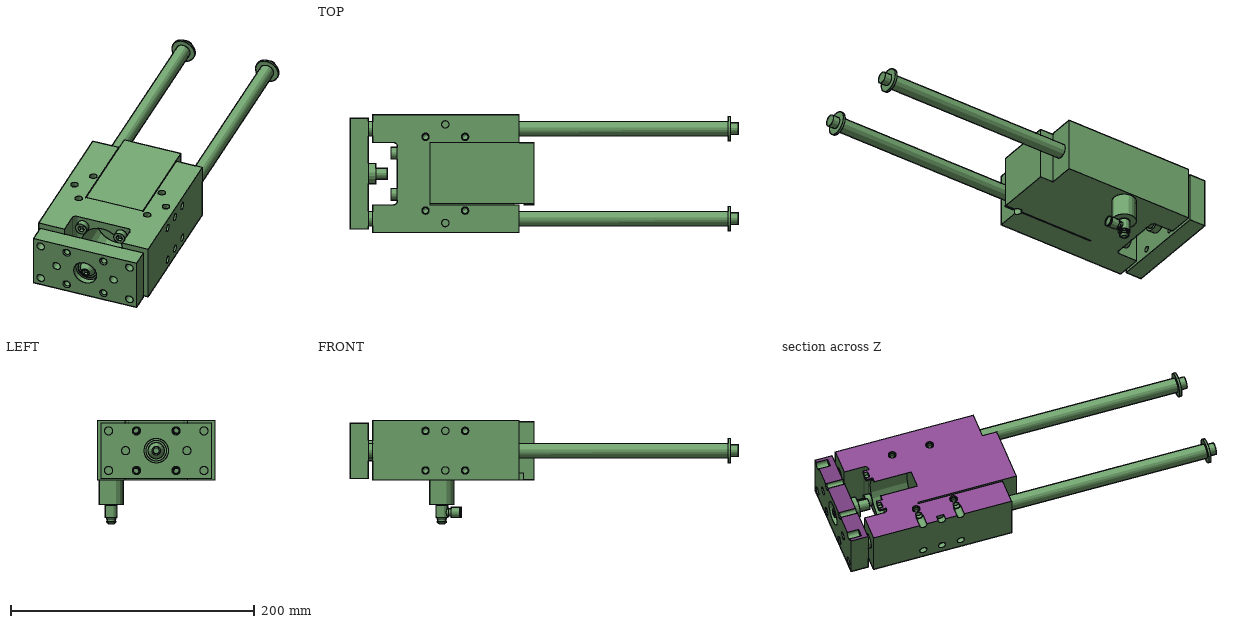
import cadquery as cq
import math

OVERALL_LENGTH = 319.0
OVERALL_HEIGHT = 85.2
HOUSING_FRONT = 18.5
HOUSING_LENGTH = 120.3
HOUSING_WIDTH = 97.0
HOUSING_HEIGHT = 49.0
HOUSING_REAR = HOUSING_FRONT + HOUSING_LENGTH
MID_Z = 24.2

RECESS_DEPTH = 20.0
RECESS_WIDTH = 51.0
RECESS_CORNER_RADIUS = 3.0
RECESS_BACK = HOUSING_FRONT + RECESS_DEPTH
BORE_DIAMETER = 36.5
BORE_DEPTH = 32.0

SCREW_PITCH = 33.8
SCREW_HEAD_DIAMETER = 10.0
SCREW_HEAD_HEIGHT = 5.0
SOCKET_WIDTH = 4.8
SOCKET_DEPTH = 3.2

BLOCK_LENGTH = 85.8
BLOCK_OVERHANG = 12.5
BLOCK_WIDTH = RECESS_WIDTH
BLOCK_DROP = 1.0
BLOCK_GAP = 1.0
BLOCK_FLANGE_HEIGHT = 0.5
BLOCK_REAR = HOUSING_REAR + BLOCK_OVERHANG
NOTCH_DIAMETER = 8.0
NOTCH_HEIGHT = 6.0

PITCH = 32.5
MOUNT_X = 78.0
HOLE_DIAMETER = 6.0
DOWEL_DEPTH = 4.8
THREAD_DEPTH = 10.0
DRILL_DIAMETER = 4.8
DRILL_DEPTH = 12.8
TIP_LENGTH = 1.3
TOP_TAPPED_Y = 30.3
TOP_DOWEL_Y = 40.5

VALVE_X = 75.3
VALVE_DIAMETER = 20.0
VALVE_HEIGHT = 20.0
VALVE_BOTTOM = OVERALL_HEIGHT - HOUSING_HEIGHT
COLLAR_DIAMETER = 9.3
COLLAR_END = 20.7
FITTING_DIAMETER = 10.0
FITTING_END = 30.5
RING_DIAMETER = 8.0
RING_END = 32.0
GROOVE_DIAMETER = 6.7
GROOVE_END = 33.8
NOSE_DIAMETER = 8.0
NOSE_CONE_START = 34.5
NOSE_TIP_DIAMETER = 4.0
ELBOW_Z = -26.5
ELBOW_BOSS_DIAMETER = 7.0
ELBOW_BOSS_END = 5.5
ELBOW_NECK_DIAMETER = 6.0
ELBOW_DIAMETER = 8.5
ELBOW_START = 7.5
ELBOW_END = 16.3
ELBOW_GROOVE_DIAMETER = 8.0
ELBOW_GROOVE_WIDTH = 0.5
ELBOW_GROOVE_START = 14.7

PLATE_THICKNESS = 15.0
PLATE_WIDTH = 91.2
PLATE_BOTTOM = 1.3
PLATE_HEIGHT = 45.5
PLATE_OUTER_HOLE_Y = 39.2
PLATE_MIDDLE_HOLE_Y = 25.2
PLATE_HOLE_DIAMETER = 6.7
PLATE_HOLE_DEPTH = 10.0
ACCESS_HOLE_DIAMETER = 4.8
ACCESS_CHAMFER = (PLATE_HOLE_DIAMETER - ACCESS_HOLE_DIAMETER) / 2
ROD_DIAMETER = 12.0
ROD_Y = 37.0
STOP_DIAMETER = 20.0
STOP_THICKNESS = 2.0
STUD_DIAMETER = 10.0
STUD_LENGTH = 6.5
STUD_START = OVERALL_LENGTH - STUD_LENGTH

COUNTERBORE_DIAMETER = 20.0
COUNTERBORE_DEPTH = 5.0
SEAT_DEPTH = 6.0
COUPLING_DIAMETER = 17.0
COUPLING_LENGTH = 6.0
PIN_DIAMETER = 9.3
PIN_LENGTH = 9.5
BUTTON_HEIGHT = 5.5
BUTTON_BASE_DIAMETER = 13.5
BUTTON_TOP_DIAMETER = 7.0
BUTTON_SOCKET_WIDTH = 4.8

CORNERS = [(-1, -1), (-1, 1), (1, -1), (1, 1)]


def x_cylinder(x, y, z, diameter, length):
    """Cylinder along +X that starts at (x, y, z)."""
    return cq.Workplane("YZ", origin=(x, y, z)).circle(diameter / 2).extrude(length)


def x_hexagon(x, y, z, width, length):
    """Hexagonal prism along +X, sized across flats."""
    corner_diameter = width / math.cos(math.pi / 6)
    return cq.Workplane("YZ", origin=(x, y, z)).polygon(6, corner_diameter).extrude(length)


def plain_hole(point, direction, diameter, depth):
    """Flat-bottomed hole from point along direction."""
    return cq.Workplane(cq.Solid.makeCylinder(
        diameter / 2, depth, cq.Vector(*point), cq.Vector(*direction)))


def tapped_hole(point, direction, diameter):
    """Hole followed by a smaller drill hole with a conical end."""
    start = cq.Vector(*point)
    axis = cq.Vector(*direction)
    radius = DRILL_DIAMETER / 2
    drill = cq.Solid.makeCylinder(radius, DRILL_DEPTH, start, axis)
    tip = cq.Solid.makeCone(radius, 0, TIP_LENGTH, start + axis * DRILL_DEPTH, axis)
    hole = plain_hole(point, direction, diameter, THREAD_DEPTH)
    return hole.union(cq.Workplane(drill)).union(cq.Workplane(tip))


def make_valve():
    """Valve with its nose and side elbow, hanging below the housing."""
    y = ROD_Y
    profile = [
        (0, 0),
        (VALVE_DIAMETER / 2, 0),
        (VALVE_DIAMETER / 2, -VALVE_HEIGHT),
        (COLLAR_DIAMETER / 2, -VALVE_HEIGHT),
        (COLLAR_DIAMETER / 2, -COLLAR_END),
        (FITTING_DIAMETER / 2, -COLLAR_END),
        (FITTING_DIAMETER / 2, -FITTING_END),
        (RING_DIAMETER / 2, -FITTING_END),
        (RING_DIAMETER / 2, -RING_END),
        (GROOVE_DIAMETER / 2, -RING_END),
        (GROOVE_DIAMETER / 2, -GROOVE_END),
        (NOSE_DIAMETER / 2, -GROOVE_END),
        (NOSE_DIAMETER / 2, -NOSE_CONE_START),
        (NOSE_TIP_DIAMETER / 2, -VALVE_BOTTOM),
        (0, -VALVE_BOTTOM),
    ]
    valve = cq.Workplane("XZ", origin=(VALVE_X, y, 0)).polyline(profile).close()
    valve = valve.revolve(360, (0, 0), (0, 1))
    sections = [
        (0, ELBOW_BOSS_END, ELBOW_BOSS_DIAMETER),
        (ELBOW_BOSS_END, ELBOW_START, ELBOW_NECK_DIAMETER),
        (ELBOW_START, ELBOW_GROOVE_START, ELBOW_DIAMETER),
        (ELBOW_GROOVE_START, ELBOW_GROOVE_START + ELBOW_GROOVE_WIDTH, ELBOW_GROOVE_DIAMETER),
        (ELBOW_GROOVE_START + ELBOW_GROOVE_WIDTH, ELBOW_END, ELBOW_DIAMETER),
    ]
    for start, end, diameter in sections:
        valve = valve.union(x_cylinder(VALVE_X + start, y, ELBOW_Z, diameter, end - start))
    return valve


def cut_mounting_holes(housing):
    """Hole patterns in the top face and in the -Y face."""
    down = (0, 0, -1)
    inward = (0, 1, 0)
    for side in (-1, 1):
        top_dowel = (MOUNT_X, side * TOP_DOWEL_Y, HOUSING_HEIGHT)
        housing = housing.cut(plain_hole(top_dowel, down, HOLE_DIAMETER, DOWEL_DEPTH))
        side_dowel = (MOUNT_X, -HOUSING_WIDTH / 2, MID_Z + side * PITCH / 2)
        housing = housing.cut(plain_hole(side_dowel, inward, HOLE_DIAMETER, DOWEL_DEPTH))
    for i, j in CORNERS:
        x = MOUNT_X + i * PITCH / 2
        top_point = (x, j * TOP_TAPPED_Y, HOUSING_HEIGHT)
        housing = housing.cut(tapped_hole(top_point, down, HOLE_DIAMETER))
        side_point = (x, -HOUSING_WIDTH / 2, MID_Z + j * PITCH / 2)
        housing = housing.cut(tapped_hole(side_point, inward, HOLE_DIAMETER))
    return housing


def make_housing():
    """Housing with its rear block, recess screws and valve."""
    housing = cq.Workplane("XY").box(HOUSING_LENGTH, HOUSING_WIDTH, HOUSING_HEIGHT,
                                     centered=(False, True, False))
    housing = housing.translate((HOUSING_FRONT, 0, 0))
    recess = cq.Workplane("XY").box(RECESS_DEPTH, RECESS_WIDTH, HOUSING_HEIGHT,
                                    centered=(False, True, False))
    recess = recess.edges("|Z and >X").fillet(RECESS_CORNER_RADIUS)
    housing = housing.cut(recess.translate((HOUSING_FRONT, 0, 0)))
    housing = housing.cut(x_cylinder(RECESS_BACK, 0, MID_Z, BORE_DIAMETER, BORE_DEPTH))

    block_top = HOUSING_HEIGHT - BLOCK_DROP
    block_front = BLOCK_REAR - BLOCK_LENGTH
    block_space = cq.Workplane("XY").box(BLOCK_LENGTH, BLOCK_WIDTH, HOUSING_HEIGHT,
                                         centered=(False, True, False))
    housing = housing.cut(block_space.translate((block_front, 0, block_top)))
    overhang = cq.Workplane("XY").box(BLOCK_OVERHANG, BLOCK_WIDTH, block_top,
                                      centered=(False, True, False))
    housing = housing.union(overhang.translate((HOUSING_REAR, 0, 0)))
    gap = cq.Workplane("XY").box(BLOCK_LENGTH, BLOCK_GAP, block_top - BLOCK_FLANGE_HEIGHT, centered=False)
    housing = housing.cut(gap.translate((block_front, -BLOCK_WIDTH / 2, BLOCK_FLANGE_HEIGHT)))
    notch = cq.Workplane("XY", origin=(HOUSING_REAR, -BLOCK_WIDTH / 2, 0))
    housing = housing.cut(notch.circle(NOTCH_DIAMETER / 2).extrude(NOTCH_HEIGHT))

    for i, j in CORNERS:
        y = i * SCREW_PITCH / 2
        z = MID_Z + j * SCREW_PITCH / 2
        head_front = RECESS_BACK - SCREW_HEAD_HEIGHT
        housing = housing.union(x_cylinder(head_front, y, z, SCREW_HEAD_DIAMETER, SCREW_HEAD_HEIGHT))
        housing = housing.cut(x_hexagon(head_front, y, z, SOCKET_WIDTH, SOCKET_DEPTH))

    housing = cut_mounting_holes(housing)
    for side in (-1, 1):
        housing = housing.cut(
            x_cylinder(HOUSING_FRONT, side * ROD_Y, MID_Z, ROD_DIAMETER, HOUSING_LENGTH))
    return housing.union(make_valve())


def access_hole(y, z):
    """Chamfered through hole in the plate, in front of a recess screw."""
    hole = x_cylinder(0, y, z, ACCESS_HOLE_DIAMETER, PLATE_THICKNESS)
    chamfer = cq.Solid.makeCone(PLATE_HOLE_DIAMETER / 2, ACCESS_HOLE_DIAMETER / 2, ACCESS_CHAMFER,
                                cq.Vector(0, y, z), cq.Vector(1, 0, 0))
    return hole.union(cq.Workplane(chamfer))


def add_coupling(slide):
    """Counterbore, button-head screw and stepped pin in the middle of the plate."""
    slide = slide.cut(x_cylinder(0, 0, MID_Z, COUNTERBORE_DIAMETER, COUNTERBORE_DEPTH))
    slide = slide.cut(x_cylinder(0, 0, MID_Z, COUPLING_DIAMETER, SEAT_DEPTH))
    slide = slide.union(x_cylinder(PLATE_THICKNESS, 0, MID_Z, COUPLING_DIAMETER, COUPLING_LENGTH))
    pin_start = PLATE_THICKNESS + COUPLING_LENGTH
    slide = slide.union(x_cylinder(pin_start, 0, MID_Z, PIN_DIAMETER, PIN_LENGTH))
    button_top = SEAT_DEPTH - BUTTON_HEIGHT
    button = cq.Solid.makeCone(BUTTON_TOP_DIAMETER / 2, BUTTON_BASE_DIAMETER / 2, BUTTON_HEIGHT,
                               cq.Vector(button_top, 0, MID_Z),
                               cq.Vector(1, 0, 0))
    slide = slide.union(cq.Workplane(button))
    socket = x_hexagon(button_top, 0, MID_Z, BUTTON_SOCKET_WIDTH, SOCKET_DEPTH)
    return slide.cut(socket)


def make_slide():
    """Front plate with both guide rods and their end stops."""
    slide = cq.Workplane("XY").box(PLATE_THICKNESS, PLATE_WIDTH, PLATE_HEIGHT,
                                   centered=(False, True, False))
    slide = slide.translate((0, 0, PLATE_BOTTOM))
    back = (1, 0, 0)
    for side in (-1, 1):
        y = side * ROD_Y
        middle_hole = (0, side * PLATE_MIDDLE_HOLE_Y, MID_Z)
        slide = slide.cut(plain_hole(middle_hole, back, PLATE_HOLE_DIAMETER, PLATE_HOLE_DEPTH))
        slide = slide.union(
            x_cylinder(PLATE_THICKNESS, y, MID_Z, ROD_DIAMETER, STUD_START - PLATE_THICKNESS))
        slide = slide.union(
            x_cylinder(STUD_START - STOP_THICKNESS, y, MID_Z, STOP_DIAMETER, STOP_THICKNESS))
        slide = slide.union(x_cylinder(STUD_START, y, MID_Z, STUD_DIAMETER, STUD_LENGTH))
    for i, j in CORNERS:
        z = MID_Z + j * PITCH / 2
        corner_hole = (0, i * PLATE_OUTER_HOLE_Y, z)
        slide = slide.cut(plain_hole(corner_hole, back, PLATE_HOLE_DIAMETER, PLATE_HOLE_DEPTH))
        slide = slide.cut(access_hole(i * PITCH / 2, z))
    return add_coupling(slide)


housing = make_housing()
slide = make_slide()

result = cq.Compound.makeCompound([housing.val(), slide.val()])